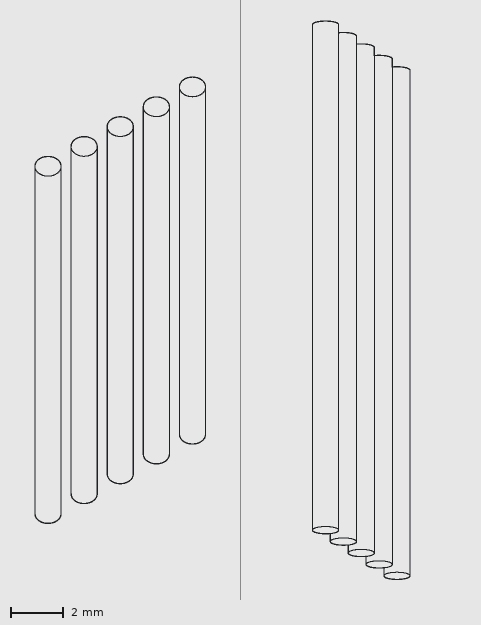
import cadquery as cq

pin_length = 20.0
pin_diameter = 1.0
pin_count = 5
pin_pitch = 1.7


def make_pin(y_position):
    """Plain round pin standing along Z, centred on the origin in X and Z."""
    return (
        cq.Workplane("XY", origin=(0, y_position, -pin_length / 2))
        .circle(pin_diameter / 2)
        .extrude(pin_length)
    )


first_pin_y = -pin_pitch * (pin_count - 1) / 2
pins = [make_pin(first_pin_y + index * pin_pitch) for index in range(pin_count)]

result = cq.Compound.makeCompound([pin.val() for pin in pins])